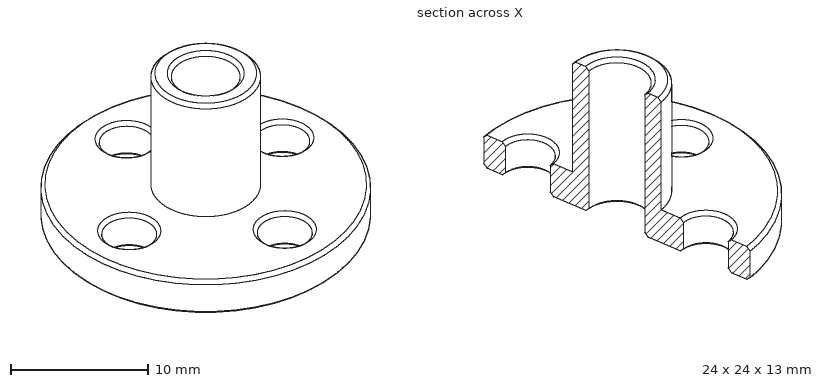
import cadquery as cq

flange_diameter = 24.0
flange_thickness = 3.0

sleeve_diameter = 8.0
sleeve_height = 10.0
bore_diameter = 5.0

hole_count = 4
hole_diameter = 4.0
hole_circle_radius = 8.0

edge_chamfer = 0.3

full_turn = 360.0
total_height = flange_thickness + sleeve_height


def revolved_body():
    """Flange and sleeve as one turned profile around Z."""
    flange_radius = flange_diameter / 2
    sleeve_radius = sleeve_diameter / 2
    return (
        cq.Workplane("XZ")
        .moveTo(0, 0)
        .lineTo(flange_radius - edge_chamfer, 0)
        .lineTo(flange_radius, edge_chamfer)
        .lineTo(flange_radius, flange_thickness - edge_chamfer)
        .lineTo(flange_radius - edge_chamfer, flange_thickness)
        .lineTo(sleeve_radius, flange_thickness)
        .lineTo(sleeve_radius, total_height - edge_chamfer)
        .lineTo(sleeve_radius - edge_chamfer, total_height)
        .lineTo(0, total_height)
        .close()
        .revolve(full_turn, (0, 0, 0), (0, 1, 0))
    )


def chamfered_hole_cutter(diameter, depth):
    """Through-hole cutter from Z = 0 to depth, widened by a chamfer at both mouths."""
    radius = diameter / 2
    mouth_radius = radius + edge_chamfer
    return (
        cq.Workplane("XZ")
        .moveTo(0, 0)
        .lineTo(mouth_radius, 0)
        .lineTo(radius, edge_chamfer)
        .lineTo(radius, depth - edge_chamfer)
        .lineTo(mouth_radius, depth)
        .lineTo(0, depth)
        .close()
        .revolve(full_turn, (0, 0, 0), (0, 1, 0))
    )


def mounting_hole_cutters():
    """Chamfered cutters spaced evenly on the hole circle, one on each axis direction."""
    cutter = chamfered_hole_cutter(hole_diameter, flange_thickness).val()
    return (
        cq.Workplane("XY")
        .polarArray(hole_circle_radius, 0, full_turn, hole_count, rotate=False)
        .eachpoint(lambda place: cutter.moved(place))
    )


body = revolved_body()
body = body.cut(chamfered_hole_cutter(bore_diameter, total_height))
result = body.cut(mounting_hole_cutters())